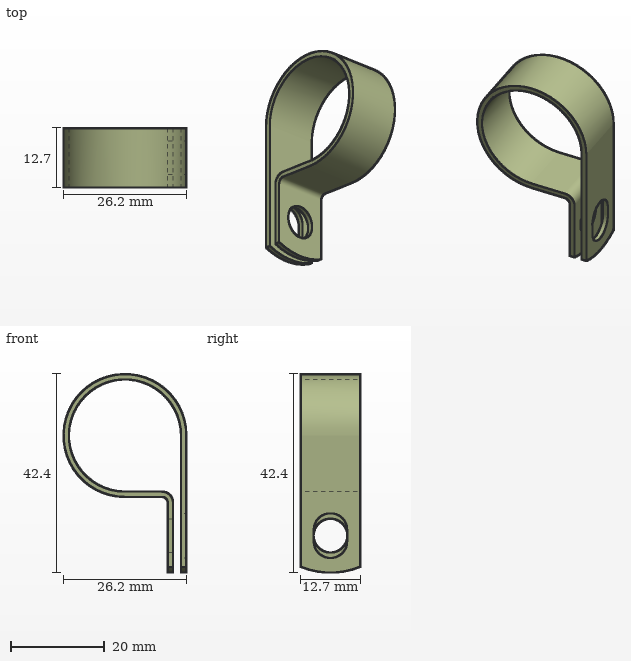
import cadquery as cq
import math

height = 42.4
width = 12.7
thickness = 1.2
loop_diameter = 26.25
leg_gap = 1.65
bend_inner_radius = 1.2
hole_diameter = 7.15
hole_height = 7.95
slot_length = 9.55
end_drop = 1.27

outer_radius = loop_diameter / 2
inner_radius = outer_radius - thickness
loop_z = height - outer_radius
strip_top = loop_z - inner_radius
strip_bottom = loop_z - outer_radius
short_leg_outer = inner_radius - leg_gap
short_leg_inner = short_leg_outer - thickness
bend_outer_radius = bend_inner_radius + thickness
bend_x = short_leg_outer - bend_outer_radius
bend_z = strip_top - bend_outer_radius


def on_circle(center_x, center_z, radius, degrees):
    angle = math.radians(degrees)
    return center_x + radius * math.cos(angle), center_z + radius * math.sin(angle)


def bent_strip():
    """Side profile of long leg, loop, flat, bend and short leg, extruded across Y."""
    loop_middle = 135
    bend_middle = 45
    return (
        cq.Workplane("XZ")
        .moveTo(outer_radius, 0)
        .lineTo(outer_radius, loop_z)
        .threePointArc(on_circle(0, loop_z, outer_radius, loop_middle), (0, strip_bottom))
        .lineTo(bend_x, strip_bottom)
        .threePointArc(on_circle(bend_x, bend_z, bend_inner_radius, bend_middle), (short_leg_inner, bend_z))
        .lineTo(short_leg_inner, 0)
        .lineTo(short_leg_outer, 0)
        .lineTo(short_leg_outer, bend_z)
        .threePointArc(on_circle(bend_x, bend_z, bend_outer_radius, bend_middle), (bend_x, strip_top))
        .lineTo(0, strip_top)
        .threePointArc(on_circle(0, loop_z, inner_radius, loop_middle), (inner_radius, loop_z))
        .lineTo(inner_radius, 0)
        .close()
        .extrude(width / 2, both=True)
    )


def end_outline():
    """Strip outline along X, with an arc across the bottom that rounds both leg ends."""
    return (
        cq.Workplane("YZ")
        .moveTo(-width / 2, end_drop)
        .threePointArc((0, 0), (width / 2, end_drop))
        .lineTo(width / 2, height)
        .lineTo(-width / 2, height)
        .close()
        .extrude(outer_radius, both=True)
    )


def round_hole():
    """Round bolt hole along X through the short leg only."""
    gap_middle = short_leg_outer + leg_gap / 2
    return cq.Workplane("YZ").center(0, hole_height).circle(hole_diameter / 2).extrude(gap_middle)


def upright_slot():
    """Bolt slot along X through the long leg, lengthened in Z to allow adjustment."""
    return (
        cq.Workplane("YZ", origin=(inner_radius, 0, hole_height))
        .slot2D(slot_length, hole_diameter, 90)
        .extrude(thickness)
    )


result = bent_strip().intersect(end_outline()).cut(round_hole()).cut(upright_slot())